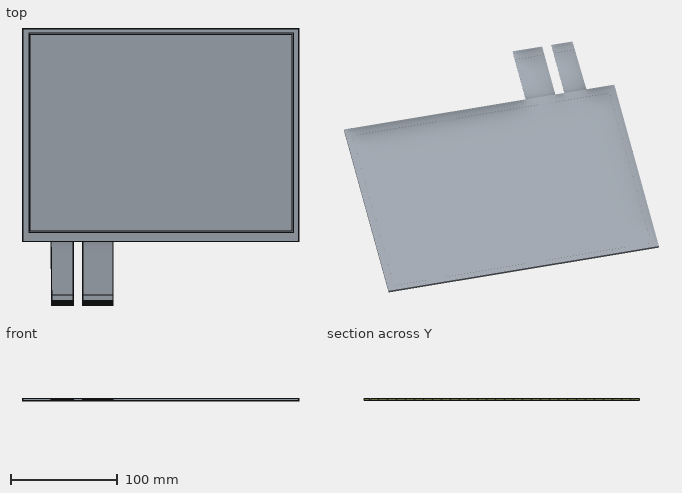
import cadquery as cq

panel_width = 259.5
panel_depth = 200.0
panel_thickness = 2.35

groove_left = 6.0
groove_right = 5.2
groove_front = 8.8
groove_back = 4.2
groove_width = 1.2
groove_depth = 0.1

tail_length = 60.0
tail_root_overlap = 1.0
film_bottom = 1.3
film_thickness = 0.2
cover_thickness = 0.2
contact_length = 5.0
contact_thickness = 0.05
contact_width = 0.3
contact_pitch = 0.5

stiffener_length = 10.0
stiffener_thickness = 0.1

narrow_tail_left = 27.35
narrow_tail_width = 20.45
wide_tail_left = 56.5
wide_tail_width = 28.5

narrow_tail_flare = 0.7

panel_left = -panel_width / 2


def block(x, y, z, width, depth, height):
    """Box given by its lowest corner and its size."""
    return cq.Workplane("XY").box(width, depth, height, centered=False).translate((x, y, z))


def make_panel():
    panel = block(panel_left, 0, 0, panel_width, panel_depth, panel_thickness)
    outer_width = panel_width - groove_left - groove_right
    outer_depth = panel_depth - groove_front - groove_back
    groove_x = panel_left + groove_left
    groove_z = panel_thickness - groove_depth
    groove = block(groove_x, groove_front, groove_z, outer_width, outer_depth, groove_depth)
    island = block(
        groove_x + groove_width,
        groove_front + groove_width,
        groove_z,
        outer_width - 2 * groove_width,
        outer_depth - 2 * groove_width,
        groove_depth,
    )
    return panel.cut(groove.cut(island))


def make_contacts(left, width):
    """Row of contact strips centred across the underside of a tail tip."""
    count = int(width // contact_pitch)
    row_center = (left + width / 2, contact_length / 2 - tail_length)
    return (
        cq.Workplane("XY")
        .workplane(offset=film_bottom - contact_thickness)
        .center(*row_center)
        .rarray(contact_pitch, contact_length, count, 1)
        .box(contact_width, contact_length, contact_thickness, centered=(True, True, False))
    )


def make_tail_layer(left, width, flare, front, back, z, thickness):
    """Tail sheet spanning front to back in Y, its left side leaning out towards the root."""

    def left_at(y):
        return left - flare * (tail_length + y) / tail_length

    outline = [
        (left_at(front), front),
        (left + width, front),
        (left + width, back),
        (left_at(back), back),
    ]
    return cq.Workplane("XY").workplane(offset=z).polyline(outline).close().extrude(thickness)


def make_tail(offset, width, flare=0.0):
    left = panel_left + offset
    tip = -tail_length
    root = tail_root_overlap
    cover_z = film_bottom - cover_thickness
    stiffener_z = film_bottom + film_thickness
    tail = make_tail_layer(left, width, flare, tip, root, film_bottom, film_thickness)
    tail = tail.union(
        make_tail_layer(left, width, flare, tip + contact_length, root, cover_z, cover_thickness)
    )
    tail = tail.union(
        make_tail_layer(
            left, width, flare, tip, tip + stiffener_length, stiffener_z, stiffener_thickness
        )
    )
    return tail.union(make_contacts(left, width))


narrow_tail = make_tail(narrow_tail_left, narrow_tail_width, narrow_tail_flare)
wide_tail = make_tail(wide_tail_left, wide_tail_width)

result = make_panel().union(narrow_tail).union(wide_tail)